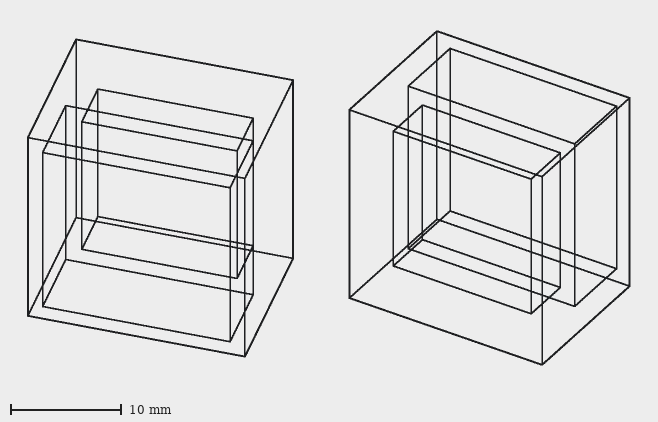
import cadquery as cq

side = 20.5
depth = 15.0
mouth_side = 17.7
mouth_depth = 7.18
inner_side = 14.65
inner_depth = 5.0


def square_block(size, length, start):
    """Square prism centred on the Y axis, running from start toward +Y."""
    return cq.Workplane("XY").box(size, length, size, centered=(True, False, True)).translate((0, start, 0))


body = square_block(side, depth, 0)
mouth = square_block(mouth_side, mouth_depth, 0)
inner_pocket = square_block(inner_side, inner_depth, mouth_depth)

result = body.cut(mouth).cut(inner_pocket)